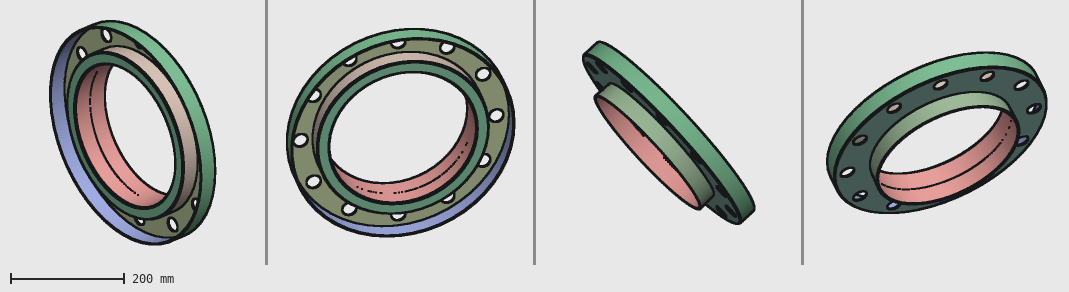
import cadquery as cq

outer_radius = 202.5
overall_depth = 70.0
flange_depth = 34.5
raised_face_height = 2.5
neck_length = overall_depth - flange_depth - raised_face_height

bore_radius = 133.0
collar_radius = 156.0
neck_base_radius = 135.0
neck_end_radius = 136.0

wall = 2.5
edge_chamfer = 2.0
rim_inner_radius = outer_radius - wall

hole_count = 12
hole_circle_radius = 177.5
hole_diameter = 26.0

front_y = -overall_depth / 2
rim_front_y = front_y + raised_face_height
flange_back_y = rim_front_y + flange_depth
neck_end_y = flange_back_y + neck_length
web_front_y = flange_back_y - wall


def make_ring():
    """Revolve the half section (radius, y) about the Y axis."""
    section = (
        cq.Workplane("XY")
        .moveTo(bore_radius, front_y + wall)
        .lineTo(bore_radius + wall, front_y)
        .lineTo(collar_radius - edge_chamfer, front_y)
        .lineTo(collar_radius, rim_front_y)
        .lineTo(collar_radius, web_front_y)
        .lineTo(rim_inner_radius, web_front_y)
        .lineTo(rim_inner_radius, rim_front_y)
        .lineTo(outer_radius, rim_front_y)
        .lineTo(outer_radius, flange_back_y - edge_chamfer)
        .lineTo(outer_radius - edge_chamfer, flange_back_y)
        .lineTo(neck_base_radius, flange_back_y)
        .lineTo(neck_end_radius, neck_end_y)
        .lineTo(bore_radius, neck_end_y)
        .close()
    )
    return section.revolve(360, (0, 0, 0), (0, 1, 0))


def make_bolt_holes():
    """Cylinders on the bolt circle, long enough to pass through the web."""
    return (
        cq.Workplane("XZ", origin=(0, neck_end_y, 0))
        .polarArray(hole_circle_radius, 0, 360, hole_count)
        .circle(hole_diameter / 2)
        .extrude(overall_depth)
    )


result = make_ring().cut(make_bolt_holes())